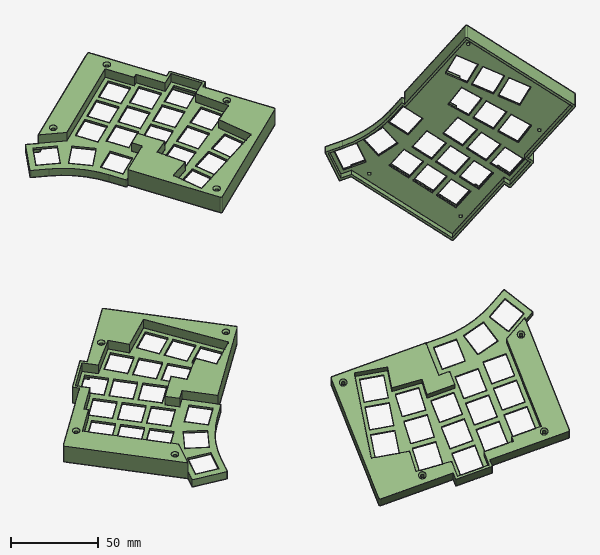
import cadquery as cq
import math

overall_length = 122.8
body_depth = 78.7
case_height = 12.5
corner_radius = 1.0
small_radius = 0.5
tab_left = 48.9
tab_right = 71.3
tab_rear = 82.9

plate_top = 5.8
plate_thickness = 1.5
plate_underside = plate_top - plate_thickness
wall = 1.5

key_opening = 14.0
key_pitch_across = 18.0
key_pitch_along = 17.0
keys_per_column = 3
key_margin = 0.6
neighbour_reach = 3.7
cell_half_width = key_pitch_across / 2 + key_margin

first_column_x = 24.0
finger_columns = [
    (first_column_x, 44.2, 0),
    (first_column_x + key_pitch_across, 46.9, 0),
    (first_column_x + 2 * key_pitch_across, 55.4, 0),
    (79.5, 45.0, 4),
    (97.9, 29.8, 10),
]

thumb_center_x = 47.3
thumb_center_y = -68.8
thumb_key_radius = 77.8
thumb_step = 15
thumb_key_count = 3
last_turn = (thumb_key_count - 1) * thumb_step
thumb_inner_radius = 66.9
thumb_outer_radius = 88.3
thumb_half_width = 10.9
thumb_recess_rear = 20.9

screw_diameter = 2.0
screw_head_diameter = 4.3
screw_countersink_angle = 90
screw_positions = [(13.9, 73.8), (88.3, 73.8), (5.6, 14.6), (110.9, 5.6)]


def block(left, front, right, rear, bottom, top):
    """Upright box between two opposite corners."""
    return (
        cq.Workplane("XY")
        .box(right - left, rear - front, top - bottom, centered=False)
        .translate((left, front, bottom))
    )


def column_point(column, across, along):
    """Point given across and along a leaning finger column, from its middle key."""
    x, y, lean = column
    cos = math.cos(math.radians(lean))
    sin = math.sin(math.radians(lean))
    return (x + across * cos + along * sin, y - across * sin + along * cos)


def thumb_point(turn, across, radius):
    """Point on the thumb arc at a turn in degrees, moved sideways by across."""
    cos = math.cos(math.radians(turn))
    sin = math.sin(math.radians(turn))
    return (
        thumb_center_x + across * cos - radius * sin,
        thumb_center_y + across * sin + radius * cos,
    )


def thumb_area(inset, bottom, top):
    """Prism over the curved thumb cluster, drawn in from its outer edges by inset."""
    half_width = thumb_half_width - inset
    inner = thumb_inner_radius + inset
    outer = thumb_outer_radius - inset
    recess_left = first_column_x - cell_half_width
    last_angle = math.radians(last_turn)
    rear_reach = (recess_left - thumb_center_x + outer * math.sin(last_angle)) / math.cos(last_angle)
    outline = (
        cq.Workplane("XY")
        .workplane(offset=bottom)
        .moveTo(*thumb_point(0, half_width, inner))
        .lineTo(*thumb_point(0, 0, inner))
        .threePointArc(thumb_point(last_turn / 2, 0, inner), thumb_point(last_turn, 0, inner))
        .lineTo(*thumb_point(last_turn, -half_width, inner))
        .lineTo(*thumb_point(last_turn, -half_width, outer))
        .lineTo(*thumb_point(last_turn, rear_reach, outer))
        .lineTo(recess_left, thumb_recess_rear)
        .lineTo(thumb_center_x + half_width, thumb_recess_rear)
        .close()
    )
    return outline.extrude(top - bottom)


def body_and_tab(inset, top):
    """Blocks for the case body and its rear tab, drawn in by inset."""
    body = block(inset, inset, body_length - inset, body_depth - inset, 0, top)
    tab = block(tab_left + inset, body_depth / 2, tab_right - inset, tab_rear - inset, 0, top)
    return body, tab


def column_recess(column):
    """Open space above one finger column; a leaning one is widened to meet its left neighbour."""
    half_along = keys_per_column * key_pitch_along / 2 + key_margin
    leans = column[2] != 0
    reach = neighbour_reach if leans else 0
    points = [
        (-cell_half_width - reach, half_along),
        (cell_half_width, half_along),
        (cell_half_width, -half_along),
        (-cell_half_width, -half_along),
    ]
    if leans:
        points.append((-cell_half_width, -key_pitch_along / 2))
    outline = [column_point(column, across, along) for across, along in points]
    return (
        cq.Workplane("XY")
        .workplane(offset=plate_top)
        .polyline(outline)
        .close()
        .extrude(case_height - plate_top)
    )


def key_cutter(position, turn):
    """Square prism through the plate at one key."""
    return (
        cq.Workplane("XY")
        .rect(key_opening, key_opening)
        .extrude(case_height)
        .rotate((0, 0, 0), (0, 0, 1), turn)
        .translate((*position, 0))
    )


thumb_tip_x = thumb_point(last_turn, -thumb_half_width, thumb_outer_radius)[0]
body_length = overall_length + thumb_tip_x
body, tab = body_and_tab(0, case_height)
case = body.edges("|Z").fillet(corner_radius).union(tab.edges("|Z").fillet(small_radius))

case = case.cut(thumb_area(0, plate_top, case_height))
for column in finger_columns:
    case = case.cut(column_recess(column))

thumb_plate = thumb_area(0, 0, plate_top)
inner_corners = [
    thumb_point(last_turn, -thumb_half_width, thumb_inner_radius),
    thumb_point(0, thumb_half_width, thumb_inner_radius),
]
for x, y in inner_corners:
    corner = cq.selectors.NearestToPointSelector((x, y, plate_top / 2))
    thumb_plate = thumb_plate.edges("|Z").edges(corner).fillet(small_radius)
case = case.union(thumb_plate)

for hollow in (*body_and_tab(wall, plate_underside), thumb_area(wall, 0, plate_underside)):
    case = case.cut(hollow)

for column in finger_columns:
    for row in range(keys_per_column):
        along = (row - (keys_per_column - 1) / 2) * key_pitch_along
        case = case.cut(key_cutter(column_point(column, 0, along), -column[2]))
for index in range(thumb_key_count):
    turn = index * thumb_step
    case = case.cut(key_cutter(thumb_point(turn, 0, thumb_key_radius), turn))

result = (
    case.faces(">Z")
    .workplane(origin=(0, 0, case_height))
    .pushPoints(screw_positions)
    .cskHole(screw_diameter, screw_head_diameter, screw_countersink_angle)
)